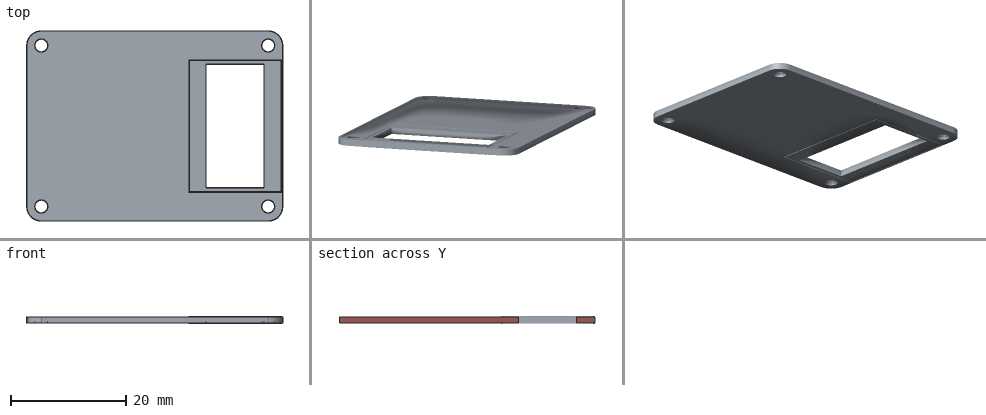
import cadquery as cq

board_length = 44.45
board_width = 33.02
total_height = 1.26
line_height = 0.075
board_thickness = total_height - 2 * line_height
corner_radius = 2.54

hole_diameter = 2.2
hole_spacing_x = board_length - 2 * corner_radius
hole_spacing_y = board_width - 2 * corner_radius

window_length = 10.0
window_width = 21.4
window_center_x = 13.92

frame_length = 16.05
frame_width = 23.0
frame_line_width = 0.1
frame_center_x = 13.98
frame_inner_length = frame_length - 2 * frame_line_width
frame_inner_width = frame_width - 2 * frame_line_width


def make_board():
    """Flat plate with rounded corners, midway between the two outlines."""
    return (
        cq.Workplane("XY", origin=(0, 0, line_height))
        .rect(board_length, board_width)
        .extrude(board_thickness)
        .edges("|Z")
        .fillet(corner_radius)
    )


def make_mounting_holes():
    """Four through holes, one in each corner."""
    return (
        cq.Workplane("XY")
        .rect(hole_spacing_x, hole_spacing_y, forConstruction=True)
        .vertices()
        .circle(hole_diameter / 2)
        .extrude(total_height)
    )


def make_window():
    """Through opening for the connector."""
    return (
        cq.Workplane("XY", origin=(window_center_x, 0, 0))
        .rect(window_length, window_width)
        .extrude(total_height)
    )


def make_frame():
    """Rectangular ring through the board, standing proud of both faces."""
    return (
        cq.Workplane("XY", origin=(frame_center_x, 0, 0))
        .rect(frame_length, frame_width)
        .rect(frame_inner_length, frame_inner_width)
        .extrude(total_height)
    )


board = make_board().cut(make_mounting_holes()).cut(make_window())
result = board.union(make_frame())